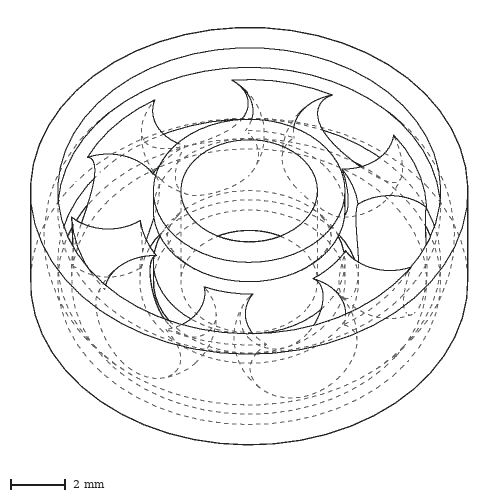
import cadquery as cq

outer_diameter = 16.0
outer_ring_bore = 14.0
inner_ring_diameter = 7.0
shaft_bore = 5.0
ring_width = 5.0

cage_outer_diameter = 13.0
cage_bore = 8.0
cage_top = 1.31
cage_bottom = -ring_width / 2

ball_count = 6
ball_radius = 2.25
first_ball_angle = 30.0
pitch_radius = (cage_outer_diameter + cage_bore) / 4


def tube(outside, inside, bottom, top):
    """Plain ring about the Z axis between two heights."""
    return (
        cq.Workplane("XY")
        .workplane(offset=bottom)
        .circle(outside / 2)
        .circle(inside / 2)
        .extrude(top - bottom)
    )


def ball_track():
    """Torus swept by a ball rolling round the pitch circle."""
    return cq.Workplane("XZ").center(pitch_radius, 0).circle(ball_radius).revolve(
        360, (-pitch_radius, 0), (-pitch_radius, 1)
    )


def race(outside, inside):
    """Bearing ring with the ball track grooved into its wall."""
    return tube(outside, inside, -ring_width / 2, ring_width / 2).cut(ball_track())


def make_cage():
    """Cage ring with spherical ball pockets open at the top and sides."""
    balls = (
        cq.Workplane("XY")
        .polarArray(pitch_radius, first_ball_angle, 360, ball_count)
        .sphere(ball_radius, combine=False)
    )
    return tube(cage_outer_diameter, cage_bore, cage_bottom, cage_top).cut(balls)


outer_ring = race(outer_diameter, outer_ring_bore)
inner_ring = race(inner_ring_diameter, shaft_bore)
cage = make_cage()

result = cq.Compound.makeCompound([outer_ring.val(), inner_ring.val(), cage.val()])